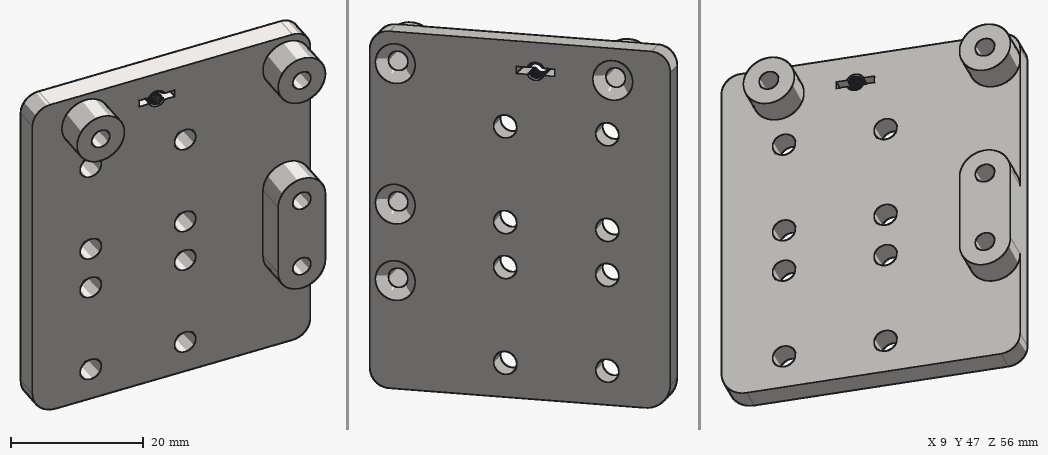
import cadquery as cq
import math

total_depth = 9.0
plate_width = 47.0
plate_height = 56.0
plate_thickness = 4.0
corner_radius = 3.0
large_corner_radius = 4.0

boss_diameter = 8.0
boss_length = total_depth - plate_thickness
boss_edge_gap = 1.0
screw_diameter = 3.0
countersink_diameter = 6.2
countersink_angle = 90
screw_inset = boss_diameter / 2
screw_spacing_y = 34.0
top_screw_drop = boss_edge_gap + boss_diameter / 2
upper_side_screw_drop = 27.05
side_screw_spacing = 12.0
lower_side_screw_drop = upper_side_screw_drop + side_screw_spacing

plain_hole_diameter = 3.6
plain_hole_inset = 21.15
plain_hole_spacing_y = 15.95
plain_hole_spacing_z = 15.0
plain_holes_per_side = 2
plain_hole_group_drops = (13.55, 35.6)

key_inset = 25.9
key_drop = 4.55
slot_length = 6.0
slot_height = 1.1
thread_minor_diameter = 2.25
thread_major_diameter = 2.8
thread_count = 8
thread_pitch = plate_thickness / thread_count


def position(inset, drop):
    """Place on the YZ plane, with the plate centred on the origin."""
    return (plate_width / 2 - inset, plate_height / 2 - drop)


def face_plane(x):
    return cq.Workplane("YZ", origin=(x, 0, 0))


def make_plate():
    plate = face_plane(0).rect(plate_width, plate_height).extrude(plate_thickness)
    plate = plate.edges("|X and (>Y or >Z)").fillet(corner_radius)
    return plate.edges("|X and <Y and <Z").fillet(large_corner_radius)


def make_bosses():
    round_bosses = (
        face_plane(plate_thickness)
        .pushPoints(top_screws)
        .circle(boss_diameter / 2)
        .extrude(boss_length)
    )
    side_boss_drop = (upper_side_screw_drop + lower_side_screw_drop) / 2
    side_boss = (
        face_plane(plate_thickness)
        .center(*position(screw_inset, side_boss_drop))
        .slot2D(side_screw_spacing + boss_diameter, boss_diameter, 90)
        .extrude(boss_length)
    )
    return round_bosses.union(side_boss)


def make_screw_holes():
    """Revolve one countersunk hole about X and repeat it at each screw."""
    hole_radius = screw_diameter / 2
    sink_radius = countersink_diameter / 2
    sink_depth = (sink_radius - hole_radius) / math.tan(math.radians(countersink_angle / 2))
    cutter = (
        cq.Workplane("XY")
        .lineTo(0, sink_radius)
        .lineTo(sink_depth, hole_radius)
        .lineTo(total_depth, hole_radius)
        .lineTo(total_depth, 0)
        .close()
        .revolve(360, (0, 0, 0), (1, 0, 0))
    )
    cutters = cq.Workplane("XY")
    for y, z in top_screws + side_screws:
        cutters = cutters.add(cutter.translate((0, y, z)))
    return cutters.combine()


def make_plain_holes():
    points = [
        position(plain_hole_inset + column * plain_hole_spacing_y, drop + row * plain_hole_spacing_z)
        for drop in plain_hole_group_drops
        for row in range(plain_holes_per_side)
        for column in range(plain_holes_per_side)
    ]
    return face_plane(0).pushPoints(points).circle(plain_hole_diameter / 2).extrude(plate_thickness)


def make_threaded_slot():
    minor_radius = thread_minor_diameter / 2
    major_radius = thread_major_diameter / 2
    profile = cq.Workplane("XY").lineTo(0, major_radius)
    for turn in range(thread_count):
        profile = profile.lineTo((turn + 0.5) * thread_pitch, minor_radius)
        profile = profile.lineTo((turn + 1) * thread_pitch, major_radius)
    thread = profile.lineTo(plate_thickness, 0).close().revolve(360, (0, 0, 0), (1, 0, 0))
    slot = face_plane(0).rect(slot_length, slot_height).extrude(plate_thickness)
    key_y, key_z = position(key_inset, key_drop)
    return thread.union(slot).translate((0, key_y, key_z))


top_screws = [
    position(screw_inset, top_screw_drop),
    position(screw_inset + screw_spacing_y, top_screw_drop),
]
side_screws = [
    position(screw_inset, upper_side_screw_drop),
    position(screw_inset, lower_side_screw_drop),
]

result = (
    make_plate()
    .union(make_bosses())
    .cut(make_screw_holes())
    .cut(make_plain_holes())
    .cut(make_threaded_slot())
)